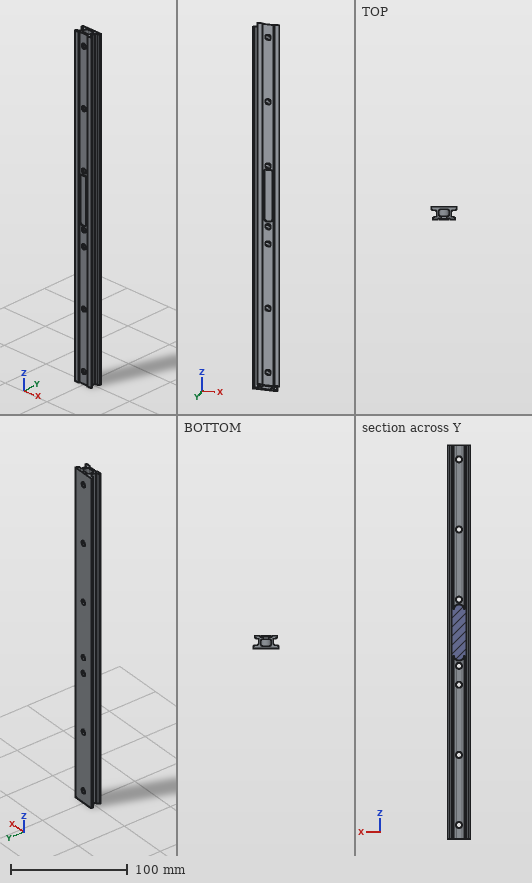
import cadquery as cq

length = 337.5
depth = 11.0
back_y = depth / 2
front_y = -depth / 2

head_half = 10.97
head_thickness = 3.0
head_bevel = 1.0
stem_half = 6.5
stem_chamfer = 1.0
foot_half = 9.8
foot_side = 1.5
foot_shoulder_half = 8.0
foot_thickness = 2.7
groove_half = 4.7
groove_depth = 1.0
groove_bevel = 0.7

cavity_width = 9.0
cavity_depth = 6.0
cavity_corner = 2.0
cavity_y = 0.5

plug_top = 32.5
plug_bottom = -16.0
pad_width = 7.0
pad_top_corner = 1.0
pad_bottom_corner = 2.7

hole_diameter = 5.0
hole_pitch = 60.0
end_hole_z = 156.5
extra_hole_z = -20.3
holes_per_end = 3


def rail_profile():
    """Cross-section: wide head at the back, stem, and two flared feet at the front."""
    head_front = back_y - head_thickness
    groove_y = front_y + groove_depth
    foot_back = front_y + foot_thickness
    right_side = [
        (head_half, back_y),
        (head_half, head_front + head_bevel),
        (head_half - head_bevel, head_front),
        (stem_half + stem_chamfer, head_front),
        (stem_half, head_front - stem_chamfer),
        (stem_half, foot_back),
        (foot_shoulder_half, foot_back),
        (foot_half, front_y + foot_side),
        (foot_half, front_y),
        (groove_half + groove_bevel, front_y),
        (groove_half, groove_y),
    ]
    left_side = [(-x, y) for x, y in reversed(right_side)]
    return cq.Workplane("XY").polyline(right_side + left_side).close()


def upright_box(width, thickness, y_center, z_low, z_high):
    """Box centred on X, spanning z_low to z_high."""
    return (
        cq.Workplane("XY", origin=(0, y_center, z_low))
        .box(width, thickness, z_high - z_low, centered=(True, True, False))
    )


rail = rail_profile().extrude(length).translate((0, 0, -length / 2))
cavity = upright_box(cavity_width, cavity_depth, cavity_y, -length / 2, length / 2)
cavity = cavity.edges("|Z").fillet(cavity_corner)
rail = rail.cut(cavity)

plug_length = plug_top - plug_bottom
plug_z = (plug_top + plug_bottom) / 2
plug = (
    cq.Workplane("XZ", origin=(0, cavity_y + cavity_depth / 2, plug_z))
    .slot2D(plug_length, cavity_width, 90)
    .extrude(cavity_depth)
    .intersect(cavity)
)
pad_back = cavity_y - cavity_depth / 2
pad = upright_box(
    pad_width, pad_back - front_y, (pad_back + front_y) / 2, plug_bottom, plug_top
)
pad = pad.faces(">Z").edges("|Y").fillet(pad_top_corner)
pad = pad.faces("<Z").edges("|Y").fillet(pad_bottom_corner)

hole_heights = [extra_hole_z]
for index in range(holes_per_end):
    height = end_hole_z - index * hole_pitch
    hole_heights += [height, -height]
holes = (
    cq.Workplane("XZ", origin=(0, back_y, 0))
    .pushPoints([(0, z) for z in hole_heights])
    .circle(hole_diameter / 2)
    .extrude(depth)
)

result = rail.union(plug).union(pad).cut(holes)